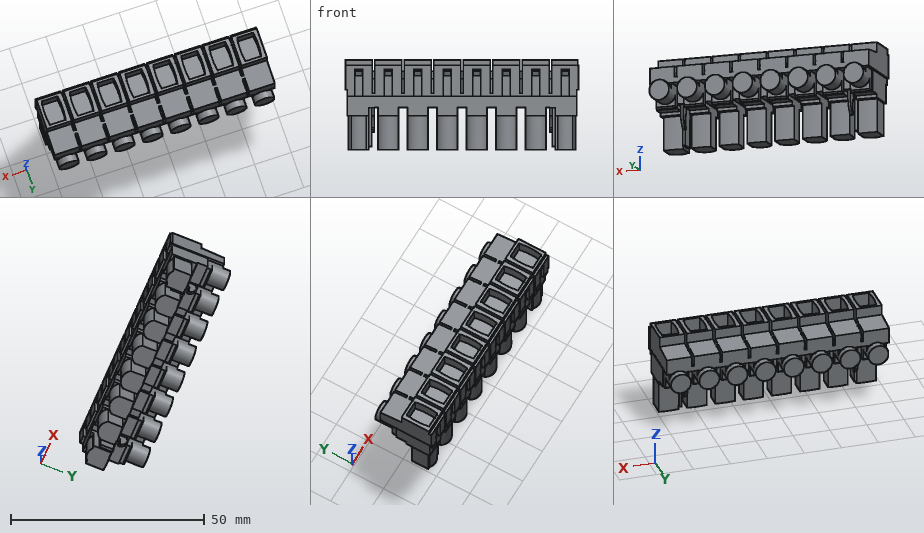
import cadquery as cq
import math

pole_count = 8
pole_pitch = 7.625
pole_xs = [(i - (pole_count - 1) / 2) * pole_pitch for i in range(pole_count)]
gap_xs = [x + pole_pitch / 2 for x in pole_xs[:-1]]

z_top = 11.65
z_bottom = -z_top
z_label_top = 10.25
z_cap_low = 3.9
z_label_low = 2.3
z_notch_roof = -0.7
z_rear_low = -1.9
z_front_low = -2.85

y_label = -8.6
y_front = -7.9
y_step = -0.85
y_head_back = 0.3
y_lower_back = 2.1
y_barrel_root = 3.55
y_cap_back = 6.65
y_barrel_end = 8.6

x_left = -30.15
x_label_right = 30.15
x_cap_right = 29.95
z_slope_high = 8.9
z_slope_low = 8.2

lower_half_length = 29.7

slot_width = 0.6
z_slot_floor = 6.8
z_front_slot_floor = 3.0
z_rear_slot_floor = 5.4
y_front_slot_step = -7.2
y_bridge_front = 2.1
y_bridge_back = 3.0
y_rear_slot_step = 5.2

entry_front = -7.2
entry_back = -0.5
entry_end_half_width = 2.2
entry_mid_half_width = 2.5
entry_depth = 3.6

channel_width = 2.0
channel_depth = 0.8
z_channel_top = 9.15
catch_width = 1.7
catch_reach = 0.6
z_catch_top = 9.05
z_catch_edge = 8.7
z_catch_low = 7.6

post_width = 5.3
post_front = -7.2
post_back = -2.3
post_back_bulge = 0.2
nose_radius = 3.1
end_nose_half_width = 1.9

rib_width = 0.7
rib_front = -5.6
rib_back = -1.9
z_rib_low = -10.8
hook_width = 0.65
y_hook_back = 1.55
z_hook_back_bend = -3.55
hook_back_middle = (1.0, -5.35)
hook_tip_back = (-0.1, -7.0)
hook_tip_front = (-0.65, -7.0)
hook_barb_point = (-0.85, -6.45)
hook_barb_inside = (-0.35, -5.9)
hook_inside_bend = (-0.3, -4.0)
hook_throat_middle = (-0.5, -3.3)

barrel_radius = 2.7
barrel_z = 1.8
z_barrel_shelf = 1.4
foot_chamfer = 0.4


def box(x0, x1, y0, y1, z0, z1):
    """Box between two limits on each axis."""
    return cq.Workplane("XY").box(x1 - x0, y1 - y0, z1 - z0, centered=False).translate((x0, y0, z0))


def side_profile(points, x0, x1):
    """Polygon of (y, z) points extruded from x0 to x1."""
    return cq.Workplane("YZ").polyline(points).close().extrude(x1 - x0).translate((x0, 0, 0))


def upper_block():
    outline = [
        (y_front, z_top), (y_head_back, z_top), (y_head_back, z_slope_high),
        (y_cap_back, z_slope_low), (y_cap_back, z_cap_low), (y_front, z_cap_low),
    ]
    block = side_profile(outline, x_left, x_cap_right)
    label_high = box(x_left, x_label_right, y_label, y_front, z_cap_low, z_label_top)
    label_low = box(-lower_half_length, lower_half_length, y_label, y_front, z_label_low, z_cap_low)
    return block.union(label_high).union(label_low)


def lower_block():
    outline = [
        (y_front, z_cap_low), (y_lower_back, z_cap_low), (y_lower_back, z_rear_low),
        (y_step, z_rear_low), (y_step, z_front_low), (y_front, z_front_low),
    ]
    block = side_profile(outline, -lower_half_length, lower_half_length)
    half_gap = (pole_pitch - post_width) / 2
    for x in gap_xs:
        block = block.cut(box(x - half_gap, x + half_gap, y_front, y_lower_back, z_front_low, z_notch_roof))
    return block


def pole_slots(x):
    """Stepped front and rear slots between two poles; the bridge stays between the slots."""
    x0 = x - slot_width / 2
    x1 = x + slot_width / 2
    front = side_profile(
        [
            (y_label, z_top), (y_bridge_front, z_top), (y_bridge_front, z_slot_floor),
            (y_front_slot_step, z_slot_floor), (y_front_slot_step, z_front_slot_floor),
            (y_label, z_front_slot_floor),
        ],
        x0, x1,
    )
    rear = side_profile(
        [
            (y_cap_back, z_top), (y_bridge_back, z_top), (y_bridge_back, z_slot_floor),
            (y_rear_slot_step, z_slot_floor), (y_rear_slot_step, z_rear_slot_floor),
            (y_cap_back, z_rear_slot_floor),
        ],
        x0, x1,
    )
    return front.union(rear)


def wire_entry(x):
    """Blind barrel-shaped well in the top of a pole."""
    y_mid = (entry_front + entry_back) / 2
    return (
        cq.Workplane("XY")
        .workplane(offset=z_top - entry_depth)
        .moveTo(x - entry_end_half_width, entry_front)
        .lineTo(x + entry_end_half_width, entry_front)
        .threePointArc((x + entry_mid_half_width, y_mid), (x + entry_end_half_width, entry_back))
        .lineTo(x - entry_end_half_width, entry_back)
        .threePointArc((x - entry_mid_half_width, y_mid), (x - entry_end_half_width, entry_front))
        .close()
        .extrude(entry_depth)
    )


def label_channel(x):
    half = channel_width / 2
    return box(x - half, x + half, y_label, y_label + channel_depth, z_label_low, z_channel_top)


def label_catch(x):
    """Small undercut tooth at the top of a label channel."""
    y_floor = y_label + channel_depth
    tooth = [
        (y_floor, z_catch_top), (y_floor - catch_reach, z_catch_top),
        (y_floor - catch_reach, z_catch_edge), (y_floor, z_catch_low),
    ]
    return side_profile(tooth, x - catch_width / 2, x + catch_width / 2)


def nose_drop(half_width):
    """How far the nose arc falls back from its tip at a given half width."""
    return nose_radius - math.sqrt(nose_radius**2 - half_width**2)


def plug_post(x, is_end):
    """Post with a rounded nose; an end post keeps flat corners beside its nose."""
    half = post_width / 2
    nose_half = end_nose_half_width if is_end else half
    y_nose = post_front if is_end else y_front + nose_drop(half)
    outline = cq.Workplane("XY").workplane(offset=z_bottom)
    outline = outline.moveTo(x - half, post_back).lineTo(x - half, y_nose)
    if is_end:
        outline = outline.lineTo(x - nose_half, y_nose)
    outline = outline.threePointArc((x, y_front), (x + nose_half, y_nose))
    if is_end:
        outline = outline.lineTo(x + half, y_nose)
    return (
        outline.lineTo(x + half, post_back)
        .threePointArc((x, post_back + post_back_bulge), (x - half, post_back))
        .close()
        .extrude(z_front_low - z_bottom)
    )


def guide_rib(x0):
    return box(x0, x0 + rib_width, rib_front, rib_back, z_rib_low, z_notch_roof)


def latch_hook(x0):
    """Curved hook that hangs from a notch roof."""
    return (
        cq.Workplane("YZ")
        .moveTo(y_step, z_notch_roof)
        .lineTo(y_hook_back, z_notch_roof)
        .lineTo(y_hook_back, z_hook_back_bend)
        .threePointArc(hook_back_middle, hook_tip_back)
        .lineTo(*hook_tip_front)
        .lineTo(*hook_barb_point)
        .lineTo(*hook_barb_inside)
        .lineTo(*hook_inside_bend)
        .threePointArc(hook_throat_middle, (y_step, z_front_low))
        .close()
        .extrude(hook_width)
        .translate((x0, 0, 0))
    )


def make_housing():
    housing = upper_block().union(lower_block())
    for x in gap_xs:
        housing = housing.cut(pole_slots(x))
    for x in pole_xs:
        is_end = x in (pole_xs[0], pole_xs[-1])
        housing = housing.cut(wire_entry(x)).cut(label_channel(x)).union(label_catch(x))
        housing = housing.union(plug_post(x, is_end))
    rib_x = pole_xs[0] + post_width / 2
    side_parts = guide_rib(rib_x).union(latch_hook(rib_x + rib_width))
    return housing.union(side_parts).union(side_parts.mirror("YZ"))


def barrel_length(y0, y1):
    """Length of round barrel on the X = 0 plane, flattened at both sides to the post width."""
    half = post_width / 2
    round_bar = cq.Workplane("XZ", origin=(0, y0, barrel_z)).circle(barrel_radius).extrude(y0 - y1)
    return round_bar.intersect(box(-half, half, y0, y1, barrel_z - barrel_radius, barrel_z + barrel_radius))


def make_screw_barrel(x):
    """Shelf and foot behind the lower block, with the screw barrel on its end."""
    half = post_width / 2
    shelf = side_profile(
        [
            (y_lower_back, z_cap_low), (y_cap_back, z_cap_low), (y_cap_back, z_barrel_shelf),
            (y_barrel_root, z_barrel_shelf), (y_barrel_root, z_rear_low + foot_chamfer),
            (y_barrel_root - foot_chamfer, z_rear_low), (y_lower_back, z_rear_low),
        ],
        -half, half,
    )
    under_shelf = box(-half, half, y_barrel_root, y_cap_back, z_rear_low, z_barrel_shelf)
    inner_length = barrel_length(y_barrel_root, y_cap_back).intersect(under_shelf)
    outer_length = barrel_length(y_cap_back, y_barrel_end)
    return shelf.union(inner_length).union(outer_length).translate((x, 0, 0))


housing = make_housing()
screw_barrels = [make_screw_barrel(x) for x in pole_xs]

result = cq.Compound.makeCompound([housing.val()] + [barrel.val() for barrel in screw_barrels])